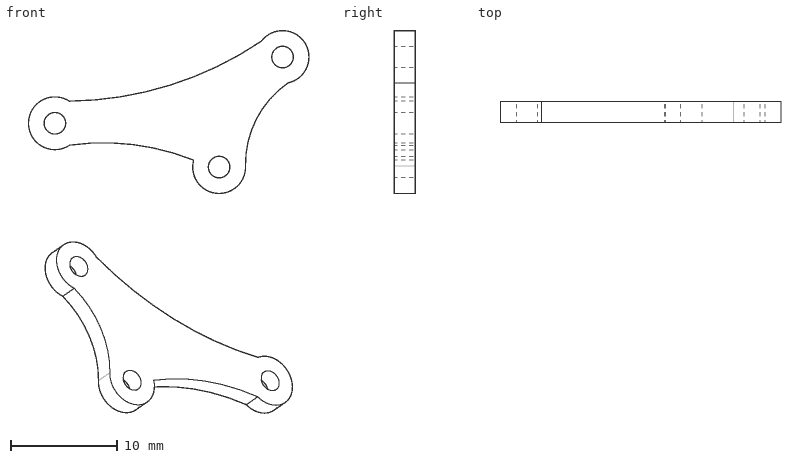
import cadquery as cq
import math

length = 26.45
thickness = 2.0
hole_diameter = 2.0
boss_diameter = 5.0
boss_radius = boss_diameter / 2

left_boss = (0, 0)
right_boss = (length - boss_diameter, 6.25)
lower_boss = (15.47, -4.13)
boss_centers = [left_boss, right_boss, lower_boss]

left_upper_angle = 57
left_lower_angle = -56
right_upper_angle = 143
right_lower_angle = -78
lower_left_angle = 165
lower_right_angle = 0

upper_edge_middle = (10.58, 3.52)
right_edge_middle = (19.25, 0.87)
lower_edge_middle = (7.05, -1.98)


def rim_point(center, angle):
    """Point on a boss rim, with the angle in degrees from +X toward +Z."""
    radians = math.radians(angle)
    return (
        center[0] + boss_radius * math.cos(radians),
        center[1] + boss_radius * math.sin(radians),
    )


def on_bosses(radius):
    """Cylinders through the plate thickness, one at each boss center."""
    return cq.Workplane("XZ").pushPoints(boss_centers).circle(radius).extrude(thickness)


web = (
    cq.Workplane("XZ")
    .moveTo(*left_boss)
    .lineTo(*rim_point(left_boss, left_upper_angle))
    .threePointArc(upper_edge_middle, rim_point(right_boss, right_upper_angle))
    .lineTo(*right_boss)
    .lineTo(*rim_point(right_boss, right_lower_angle))
    .threePointArc(right_edge_middle, rim_point(lower_boss, lower_right_angle))
    .lineTo(*lower_boss)
    .lineTo(*rim_point(lower_boss, lower_left_angle))
    .threePointArc(lower_edge_middle, rim_point(left_boss, left_lower_angle))
    .close()
    .extrude(thickness)
)

result = web.union(on_bosses(boss_radius)).cut(on_bosses(hole_diameter / 2))